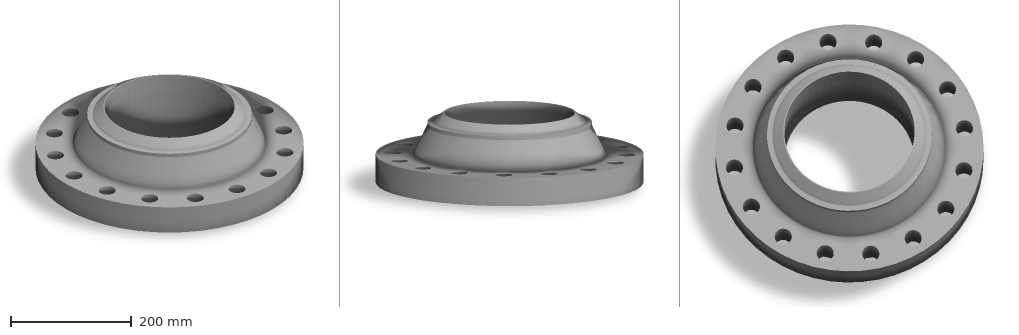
import cadquery as cq
import math

flange_radius = 222.0
flange_thickness = 47.5
raised_face_radius = 177.8
raised_face_height = 7.5

hub_base_radius = 160.0
hub_height = 48.0
hub_fillet_radius = 2.5
lip_radius = 136.5
lip_height = 6.0
lip_shoulder_rise = 1.0
bevel_base_radius = 127.0
bevel_top_radius = 109.8
bore_radius = 108.0
overall_height = 124.0

bolt_count = 16
bolt_circle_radius = 193.7
bolt_hole_diameter = 28.5

flange_top_z = raised_face_height + flange_thickness
hub_top_z = flange_top_z + hub_height
lip_top_z = hub_top_z + lip_height
bevel_base_z = lip_top_z + lip_shoulder_rise


def make_body():
    """Revolve the half section of the flange, hub and bore about Z."""
    section = [
        (bore_radius, 0),
        (raised_face_radius, 0),
        (raised_face_radius, raised_face_height),
        (flange_radius, raised_face_height),
        (flange_radius, flange_top_z),
        (hub_base_radius, flange_top_z),
        (lip_radius, hub_top_z),
        (lip_radius, lip_top_z),
        (bevel_base_radius, bevel_base_z),
        (bevel_top_radius, overall_height),
        (bore_radius, overall_height),
    ]
    axis_start = (0, 0, 0)
    axis_end = (0, 1, 0)
    return cq.Workplane("XZ").polyline(section).close().revolve(360, axis_start, axis_end)


def fillet_hub_root(body):
    """Round the inside corner where the hub cone meets the flange."""
    hub_root = body.edges("%CIRCLE").filter(
        lambda edge: math.isclose(edge.radius(), hub_base_radius)
    )
    return hub_root.fillet(hub_fillet_radius)


def cut_bolt_holes(body):
    """Drill the ring of bolt holes through the flange disc."""
    drills = (
        cq.Workplane("XY")
        .polarArray(bolt_circle_radius, 0, 360, bolt_count)
        .circle(bolt_hole_diameter / 2)
        .extrude(flange_top_z)
    )
    return body.cut(drills)


result = cut_bolt_holes(fillet_hub_root(make_body()))